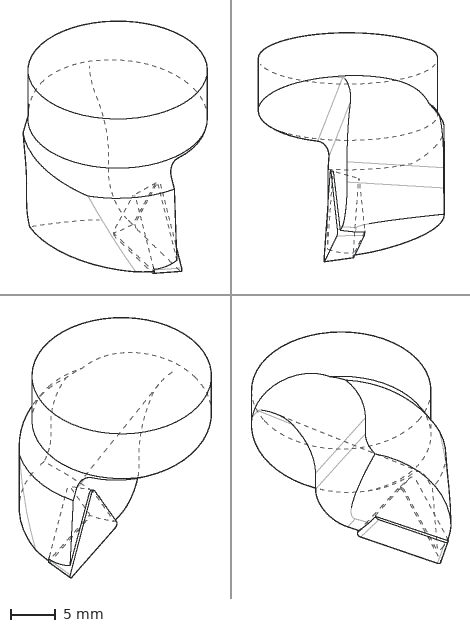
import cadquery as cq
import math

head_diameter = 20.0
head_radius = head_diameter / 2
head_bottom = -6.55

cone_bottom = -9.47
cone_bottom_radius = 11.66
skirt_bottom = -20.58
skirt_bottom_radius = 12.42

front_wall_radius = 12.0
front_reach = 10.9
front_wall_x = 0.91
front_wall_y = front_wall_radius - front_reach

flute_wall_x = -2.9
flute_radius = 8.0
flute_arc_end = -12.92
heel_arc_start = -15.28
heel_radius = 4.0
heel_bottom = heel_arc_start - heel_radius

underside_z = -19.42
underside_tilt_x = 7.5
underside_tilt_y = 1.0

rake_tilt = 3.7
rake_y = 0.57
ceiling_z = -5.9
ceiling_tilt = 5.0
corner_radius = 1.4

insert_side = 11.0
insert_thickness = 3.18
insert_relief = 7.0
insert_nose_radius = 0.41
insert_edge_tilt = 1.0
tip_x = 13.15
tip_y = -0.02
tip_z = -20.0

reach = 27.45


def make_blank():
    """Head, cone and skirt turned about Z, with the front wall trimmed."""
    blank = (
        cq.Workplane("XZ")
        .moveTo(0, 0)
        .lineTo(head_radius, 0)
        .lineTo(head_radius, head_bottom)
        .lineTo(cone_bottom_radius, cone_bottom)
        .lineTo(skirt_bottom_radius, skirt_bottom)
        .lineTo(0, skirt_bottom)
        .close()
        .revolve(360, (0, 0, 0), (0, 1, 0))
    )
    head = cq.Workplane("XY").circle(head_radius).extrude(head_bottom)
    front_wall = (
        cq.Workplane("XY")
        .center(front_wall_x, front_wall_y)
        .circle(front_wall_radius)
        .extrude(skirt_bottom)
    )
    return blank.intersect(front_wall).union(head)


def make_flute():
    """Space left of and below the flute wall and the rounded heel."""
    flute_centre_x = flute_wall_x - flute_radius
    heel_centre_x = flute_wall_x + heel_radius
    diagonal = math.sqrt(0.5)
    return (
        cq.Workplane("XZ")
        .moveTo(-reach, flute_arc_end + flute_radius)
        .lineTo(flute_centre_x, flute_arc_end + flute_radius)
        .threePointArc(
            (flute_centre_x + flute_radius * diagonal, flute_arc_end + flute_radius * diagonal),
            (flute_wall_x, flute_arc_end),
        )
        .lineTo(flute_wall_x, heel_arc_start)
        .threePointArc(
            (heel_centre_x - heel_radius * diagonal, heel_arc_start - heel_radius * diagonal),
            (heel_centre_x, heel_bottom),
        )
        .lineTo(reach, heel_bottom)
        .lineTo(reach, -reach)
        .lineTo(-reach, -reach)
        .close()
        .extrude(reach, both=True)
    )


def make_underside_cut():
    """Block whose tilted top face becomes the sloping underside."""
    return (
        cq.Workplane("XY")
        .box(2 * reach, 2 * reach, reach, centered=(True, True, False))
        .translate((0, 0, -reach))
        .rotate((0, 0, 0), (1, 0, 0), -underside_tilt_x)
        .rotate((0, 0, 0), (0, 1, 0), underside_tilt_y)
        .translate((0, 0, underside_z))
    )


def make_rake_cut():
    """Block behind the rake face, with a rounded edge under the ceiling."""
    return (
        cq.Workplane("XY")
        .box(2 * reach, reach, reach, centered=(True, False, False))
        .translate((0, 0, -reach))
        .edges("|X and >Z and <Y")
        .fillet(corner_radius)
        .rotate((0, 0, 0), (0, 0, 1), -rake_tilt)
        .rotate((0, 0, 0), (0, 1, 0), ceiling_tilt)
        .translate((0, rake_y, ceiling_z))
    )


def make_insert():
    """Equilateral insert with relieved sides, placed by its cutting corner."""
    return (
        cq.Workplane("XZ")
        .moveTo(0, 0)
        .lineTo(-insert_side, 0)
        .lineTo(-insert_side / 2, insert_side * math.sin(math.radians(60)))
        .close()
        .extrude(insert_thickness, taper=insert_relief)
        .edges("not #Y")
        .fillet(insert_nose_radius)
        .rotate((0, 0, 0), (0, 1, 0), insert_edge_tilt)
        .rotate((0, 0, 0), (0, 0, 1), -rake_tilt)
        .translate((tip_x, tip_y, tip_z))
    )


insert = make_insert()
holder = (
    make_blank()
    .cut(make_flute())
    .cut(make_underside_cut())
    .cut(make_rake_cut())
    .cut(insert)
)

result = cq.Compound.makeCompound([*holder.solids().vals(), *insert.solids().vals()])